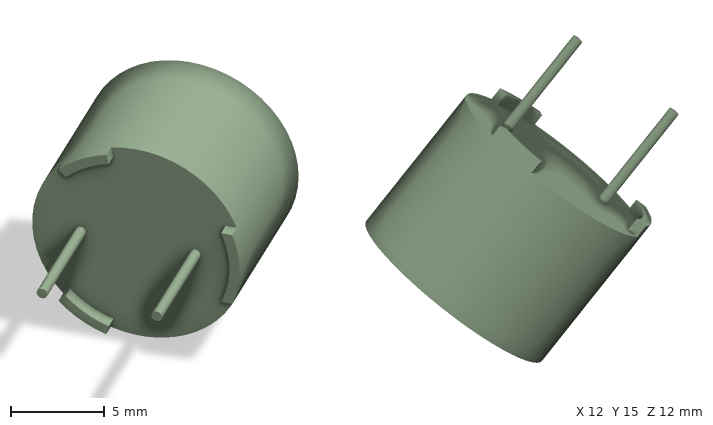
import cadquery as cq
import math

total_length = 15.0
case_diameter = 12.0
pin_length = 6.25
pin_diameter = 0.6
pin_pitch = 6.5
foot_height = 0.75
foot_inner_diameter = 10.86
wide_foot_width = 4.44
narrow_foot_span = 30.0
narrow_foot_angles = (120.0, 240.0)

case_length = total_length - pin_length
case_radius = case_diameter / 2
face_y = -case_length / 2


def face_plane():
    """XZ plane on the pin end of the case, with its normal toward -Y."""
    return cq.Workplane("XZ", origin=(0, face_y, 0))


def polar(radius, angle):
    """Point at a radius and an angle in degrees, as flat coordinates."""
    return (radius * math.cos(math.radians(angle)), radius * math.sin(math.radians(angle)))


def make_foot_ring():
    """Full ring around the face, from which every foot is cut."""
    return face_plane().circle(case_radius).circle(foot_inner_diameter / 2).extrude(foot_height)


def make_wide_foot():
    """Ring segment on the +X side, cut off by two faces parallel to X."""
    window = face_plane().center(case_radius / 2, 0).rect(case_radius, wide_foot_width).extrude(foot_height)
    return make_foot_ring().intersect(window)


def make_narrow_foot(angle):
    """Ring segment with radial end faces, centred on the given angle."""
    wedge_length = 2 * case_radius
    half_span = narrow_foot_span / 2
    wedge = (
        face_plane()
        .polyline([(0, 0), polar(wedge_length, angle - half_span), polar(wedge_length, angle + half_span)])
        .close()
        .extrude(foot_height)
    )
    return make_foot_ring().intersect(wedge)


def make_pins():
    """Two round pins spaced along X."""
    return (
        face_plane()
        .pushPoints([(-pin_pitch / 2, 0), (pin_pitch / 2, 0)])
        .circle(pin_diameter / 2)
        .extrude(pin_length)
    )


case = face_plane().circle(case_radius).extrude(-case_length)
result = case.union(make_wide_foot()).union(make_pins())
for foot_angle in narrow_foot_angles:
    result = result.union(make_narrow_foot(foot_angle))